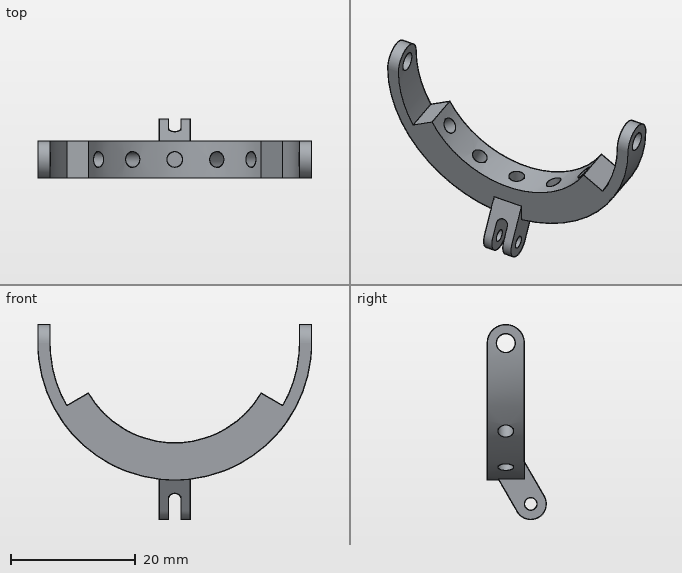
import cadquery as cq
import math

outer_radius = 22.0
arm_inner_radius = 20.0
pad_inner_radius = 16.0
width = 6.0
pad_end_angle = 60.0

pivot_hole_diameter = 3.0
radial_hole_diameter = 2.5
radial_hole_pitch = 25.0
radial_holes_per_side = 2
central_hole_depth = 21.0

lug_tilt = 30.0
lug_width = 5.0
lug_end_radius = 2.5
lug_pin_y = 4.0
lug_pin_z = -25.85
lug_pin_diameter = 2.0
slot_width = 2.0
slot_depth_above_pin = 3.4
lug_length = lug_pin_y / math.sin(math.radians(lug_tilt))


def ring_point(radius, angle):
    """Point in the XZ plane at an angle in degrees from straight down."""
    return (radius * math.sin(math.radians(angle)), -radius * math.cos(math.radians(angle)))


def make_ring():
    """Thin half ring with a thicker pad across its lower part."""
    return (
        cq.Workplane("XZ")
        .moveTo(-outer_radius, 0)
        .threePointArc((0, -outer_radius), (outer_radius, 0))
        .lineTo(arm_inner_radius, 0)
        .threePointArc(
            ring_point(arm_inner_radius, (90 + pad_end_angle) / 2),
            ring_point(arm_inner_radius, pad_end_angle),
        )
        .lineTo(*ring_point(pad_inner_radius, pad_end_angle))
        .threePointArc((0, -pad_inner_radius), ring_point(pad_inner_radius, -pad_end_angle))
        .lineTo(*ring_point(arm_inner_radius, -pad_end_angle))
        .threePointArc(
            ring_point(arm_inner_radius, -(90 + pad_end_angle) / 2),
            (-arm_inner_radius, 0),
        )
        .close()
        .extrude(width / 2, both=True)
    )


def make_ear(start_x):
    """Half-round ear on top of one arm."""
    return (
        cq.Workplane("YZ", origin=(start_x, 0, 0))
        .moveTo(-width / 2, 0)
        .threePointArc((0, width / 2), (width / 2, 0))
        .close()
        .extrude(outer_radius - arm_inner_radius)
    )


def make_radial_hole(angle, depth):
    """Cutter running outwards from the ring axis."""
    return (
        cq.Workplane("XY")
        .circle(radial_hole_diameter / 2)
        .extrude(-depth)
        .rotate((0, 0, 0), (0, 1, 0), -angle)
    )


def make_lug():
    """Forked lug, modelled upright about its pin, then tilted into place."""
    lug = (
        cq.Workplane("YZ")
        .moveTo(-lug_end_radius, lug_length)
        .lineTo(-lug_end_radius, 0)
        .threePointArc((0, -lug_end_radius), (lug_end_radius, 0))
        .lineTo(lug_end_radius, lug_length)
        .close()
        .extrude(lug_width / 2, both=True)
    )
    pin_hole = cq.Workplane("YZ").circle(lug_pin_diameter / 2).extrude(lug_width, both=True)
    slot_center_z = slot_depth_above_pin - slot_width / 2
    slot = (
        cq.Workplane("XZ")
        .moveTo(-slot_width / 2, -lug_end_radius)
        .lineTo(-slot_width / 2, slot_center_z)
        .threePointArc((0, slot_depth_above_pin), (slot_width / 2, slot_center_z))
        .lineTo(slot_width / 2, -lug_end_radius)
        .close()
        .extrude(lug_end_radius, both=True)
    )
    return (
        lug.cut(pin_hole)
        .cut(slot)
        .rotate((0, 0, 0), (1, 0, 0), lug_tilt)
        .translate((0, lug_pin_y, lug_pin_z))
    )


body = make_ring()
for ear_start in (-outer_radius, arm_inner_radius):
    body = body.union(make_ear(ear_start))

pivot_hole = cq.Workplane("YZ").circle(pivot_hole_diameter / 2).extrude(outer_radius, both=True)
body = body.cut(pivot_hole)

through_depth = outer_radius + radial_hole_diameter
for index in range(1, radial_holes_per_side + 1):
    for side in (-1, 1):
        body = body.cut(make_radial_hole(side * index * radial_hole_pitch, through_depth))

result = body.union(make_lug()).cut(make_radial_hole(0, central_hole_depth))